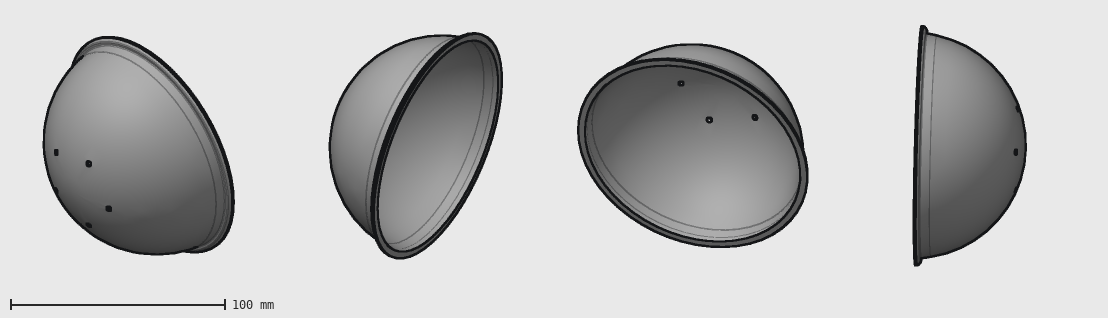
import cadquery as cq
import math

RIM_RADIUS = 56.0
TOTAL_DEPTH = 50.2

DOME_RADIUS = 52.7
WALL_THICKNESS = 0.5
CONE_END_DEPTH = 7.2

FLANGE_THICKNESS = 2.5
FLANGE_CHAMFER = 1.5
FLANGE_EDGE_FILLET = 1.0
FLANGE_ROOT_FILLET = 0.5

HOLE_COUNT = 5
HOLE_OUTER_DIAMETER = 2.5
HOLE_INNER_DIAMETER = 2.0
HOLE_CIRCLE_RADIUS = 20.0
CUTTER_OVERRUN = 0.3

EDGE_PICK_TOLERANCE = 0.05

SPHERE_CENTER_Y = DOME_RADIUS - TOTAL_DEPTH
CONE_ANGLE = math.asin((SPHERE_CENTER_Y + CONE_END_DEPTH) / DOME_RADIUS)


def sphere_point(radius, angle):
    """Profile point on a sphere about the dome centre; angle is measured from the radial direction."""
    return radius * math.cos(angle), SPHERE_CENTER_Y - radius * math.sin(angle)


def cone_radius(sphere_radius, y):
    """Radius at height y of the cone that is tangent to the sphere at CONE_ANGLE."""
    tangent_r, tangent_y = sphere_point(sphere_radius, CONE_ANGLE)
    return tangent_r + (y - tangent_y) * math.tan(CONE_ANGLE)


def solid_dome(radius):
    """Solid of revolution about Y: spherical cap plus tangent cone up to the open face."""
    apex_angle = math.pi / 2
    middle_angle = (CONE_ANGLE + apex_angle) / 2
    return (
        cq.Workplane("XY")
        .moveTo(0, 0)
        .lineTo(cone_radius(radius, 0), 0)
        .lineTo(*sphere_point(radius, CONE_ANGLE))
        .threePointArc(sphere_point(radius, middle_angle), sphere_point(radius, apex_angle))
        .close()
        .revolve(360, (0, 0), (0, 1))
    )


def solid_flange():
    """Disc with a 45 degree chamfered lower edge, rounded where the chamfer meets the flat underside."""
    chamfer_angle = math.pi / 4
    tangent_length = FLANGE_EDGE_FILLET * math.tan(chamfer_angle / 2)
    corner_r = RIM_RADIUS - FLANGE_CHAMFER
    fillet_center = (corner_r - tangent_length, -FLANGE_THICKNESS + FLANGE_EDGE_FILLET)

    def fillet_point(angle):
        return (
            fillet_center[0] + FLANGE_EDGE_FILLET * math.sin(angle),
            fillet_center[1] - FLANGE_EDGE_FILLET * math.cos(angle),
        )

    return (
        cq.Workplane("XY")
        .moveTo(0, 0)
        .lineTo(RIM_RADIUS, 0)
        .lineTo(RIM_RADIUS, FLANGE_CHAMFER - FLANGE_THICKNESS)
        .lineTo(*fillet_point(chamfer_angle))
        .threePointArc(fillet_point(chamfer_angle / 2), fillet_point(0))
        .lineTo(0, -FLANGE_THICKNESS)
        .close()
        .revolve(360, (0, 0), (0, 1))
    )


def fillet_flange_root(body):
    """Round the inside corner where the dome leaves the underside of the flange."""
    root_r = cone_radius(DOME_RADIUS, -FLANGE_THICKNESS)
    margin = FLANGE_ROOT_FILLET
    root_edge = cq.selectors.BoxSelector(
        (-root_r - margin, -FLANGE_THICKNESS - EDGE_PICK_TOLERANCE, -root_r - margin),
        (root_r + margin, -FLANGE_THICKNESS + EDGE_PICK_TOLERANCE, root_r + margin),
        boundingbox=True,
    )
    return body.edges(root_edge).fillet(FLANGE_ROOT_FILLET)


def drain_hole_cutter():
    """Tapered round cutter on the dome axis: wide at the outer skin, narrow at the inner skin."""
    taper = (HOLE_OUTER_DIAMETER - HOLE_INNER_DIAMETER) / 2 / WALL_THICKNESS
    outer_end_r = HOLE_OUTER_DIAMETER / 2 + taper * CUTTER_OVERRUN
    inner_end_r = HOLE_INNER_DIAMETER / 2 - taper * CUTTER_OVERRUN
    apex_y = SPHERE_CENTER_Y - DOME_RADIUS
    outer_end_y = apex_y - CUTTER_OVERRUN
    inner_end_y = apex_y + WALL_THICKNESS + CUTTER_OVERRUN
    return (
        cq.Workplane("XY")
        .moveTo(0, outer_end_y)
        .lineTo(outer_end_r, outer_end_y)
        .lineTo(inner_end_r, inner_end_y)
        .lineTo(0, inner_end_y)
        .close()
        .revolve(360, (0, 0), (0, 1))
    )


def cut_drain_holes(shell):
    """Cut a ring of holes square to the dome surface, the first one leaning toward +X."""
    tilt = math.degrees(math.asin(HOLE_CIRCLE_RADIUS / DOME_RADIUS))
    tilted_cutter = drain_hole_cutter().rotate((0, SPHERE_CENTER_Y, 0), (0, SPHERE_CENTER_Y, 1), tilt)
    for index in range(HOLE_COUNT):
        shell = shell.cut(tilted_cutter.rotate((0, 0, 0), (0, 1, 0), index * 360 / HOLE_COUNT))
    return shell


body = fillet_flange_root(solid_dome(DOME_RADIUS).union(solid_flange()))
cavity = solid_dome(DOME_RADIUS - WALL_THICKNESS)
result = cut_drain_holes(body.cut(cavity))